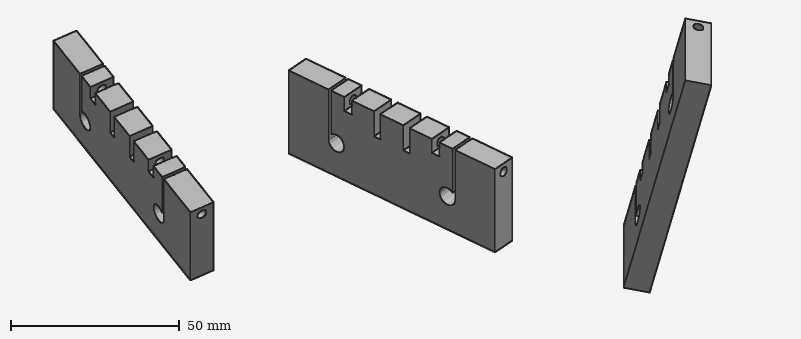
import cadquery as cq

length = 80.0
thickness = 8.0
height = 30.0

relief_diameter = 6.0
relief_offset = 21.5
relief_height = 12.0
slit_width = 1.0

outer_notch_offset = 17.0
outer_notch_width = 2.9
outer_notch_depth = 5.0
inner_notch_offset = 5.7
inner_notch_width = 2.4
inner_notch_depth = 9.0

end_hole_diameter = 3.0
end_hole_drop = 3.0
tooth_inner_face = inner_notch_offset + inner_notch_width / 2
tooth_outer_face = outer_notch_offset - outer_notch_width / 2
end_hole_depth = length / 2 - (tooth_inner_face + tooth_outer_face) / 2



def top_cut(center_x, width, depth):
    """Rectangular cut through the thickness, open at the top face."""
    return cq.Workplane("XY").box(width, thickness, depth).translate((center_x, 0, height - depth / 2))


def relief_hole(center_x):
    """Round hole through the thickness."""
    return (
        cq.Workplane("XZ")
        .center(center_x, relief_height)
        .circle(relief_diameter / 2)
        .extrude(thickness / 2, both=True)
    )


def end_hole(side):
    """Round blind hole along X, entering the end face on the given side."""
    return (
        cq.Workplane("YZ", origin=(side * length / 2, 0, height - end_hole_drop))
        .circle(end_hole_diameter / 2)
        .extrude(-side * end_hole_depth)
    )


result = cq.Workplane("XY").box(length, thickness, height, centered=(True, True, False))

slit_offset = relief_offset + (relief_diameter - slit_width) / 2
for side in (-1, 1):
    result = result.cut(relief_hole(side * relief_offset))
    result = result.cut(top_cut(side * slit_offset, slit_width, height - relief_height))
    result = result.cut(top_cut(side * outer_notch_offset, outer_notch_width, outer_notch_depth))
    result = result.cut(top_cut(side * inner_notch_offset, inner_notch_width, inner_notch_depth))
    result = result.cut(end_hole(side))